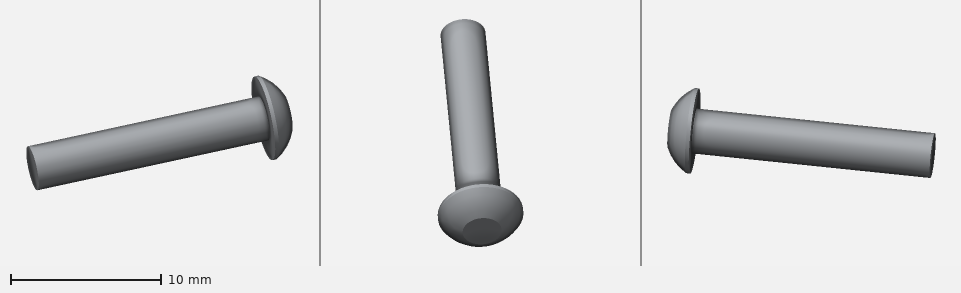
import cadquery as cq
import math

total_length = 17.65
head_height = 1.66
head_radius = 5.7 / 2
shank_radius = 3.0 / 2
rim_thickness = 0.26
crown_flat_radius = 1.3

shank_length = total_length - head_height

sphere_center = (
    (head_height**2 + crown_flat_radius**2 - rim_thickness**2 - head_radius**2)
    / (2 * (head_height - rim_thickness))
)
sphere_radius = math.hypot(head_radius, rim_thickness - sphere_center)
dome_mid_radius = (head_radius + crown_flat_radius) / 2
dome_mid_height = sphere_center + math.sqrt(sphere_radius**2 - dome_mid_radius**2)

half_profile = (
    cq.Workplane("XY")
    .moveTo(0, -shank_length)
    .lineTo(shank_radius, -shank_length)
    .lineTo(shank_radius, 0)
    .lineTo(head_radius, 0)
    .lineTo(head_radius, rim_thickness)
    .threePointArc((dome_mid_radius, dome_mid_height), (crown_flat_radius, head_height))
    .lineTo(0, head_height)
    .close()
)

result = half_profile.revolve(360, (0, 0, 0), (0, 1, 0))